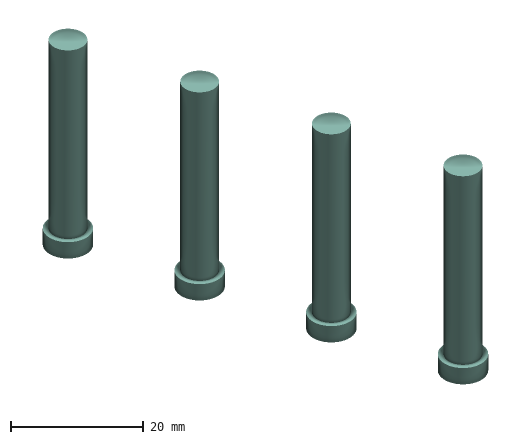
import cadquery as cq

pin_count = 4
overall_length = 76.2

head_diameter = 7.6
head_height = 3.0
shank_diameter = 5.9
pin_height = 37.3

pin_spacing = (overall_length - head_diameter) / (pin_count - 1)
first_pin_x = -(overall_length - head_diameter) / 2


def make_headed_pin(x):
    """One pin with its axis at the given X and its head resting on Z = 0."""
    head = cq.Workplane("XY").center(x, 0).circle(head_diameter / 2).extrude(head_height)
    shank = cq.Workplane("XY").center(x, 0).circle(shank_diameter / 2).extrude(pin_height)
    return head.union(shank).solids().val()


headed_pins = [make_headed_pin(first_pin_x + i * pin_spacing) for i in range(pin_count)]

result = cq.Compound.makeCompound(headed_pins)